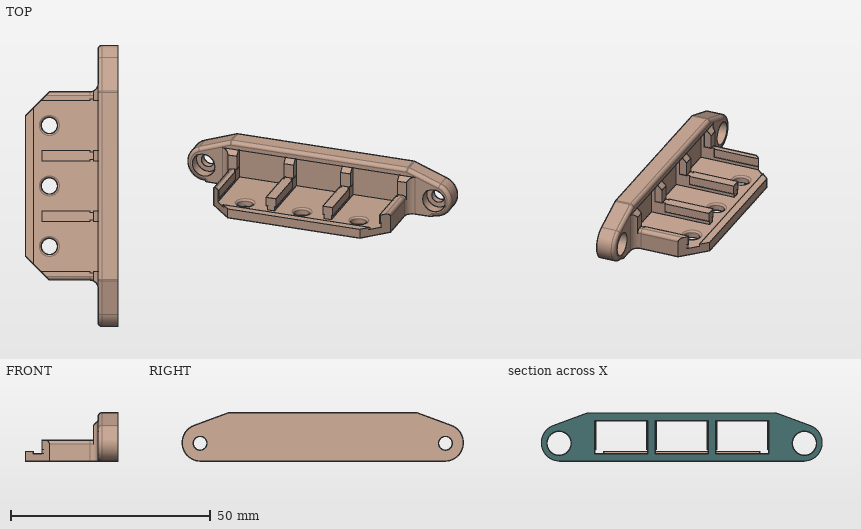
import cadquery as cq
import math

depth = 23.25
length = 70.65
height = 12.2

flange_thickness = 5.0
flange_face = depth - flange_thickness
lug_radius = 4.65
lug_y = length / 2 - lug_radius
edge_radius = 1.0
foot_size = 2 * edge_radius

screw_y = 30.8
screw_z = 4.5
screw_diameter = 3.4
counterbore_diameter = 6.0
counterbore_depth = 3.05

base_half = 23.7
corner_cut = 6.0
blend_radius = 2.05

lip_depth = 2.0
lip_top = 2.5
floor_top = 1.9
rib_front = 4.1
rib_top = 5.3
post_front = 17.0
post_top = 10.2
post_chamfer = flange_face - post_front

cell_count = 3
cell_pitch = 15.2
rib_width = 2.6
cell_width = cell_pitch - rib_width
cell_back = 20.05

relief = 0.35
relief_floor_top = 3.0
relief_corner_front = 16.25
relief_back_front = 19.0

base_hole_diameter = 4.0
base_hole_x = 6.0
base_hole_rounding = 0.5


def prism_along_y(points, width, y_center=0):
    """Extrude an X-Z outline, centred on y_center."""
    section = cq.Workplane("XZ", origin=(0, y_center, 0)).polyline(points).close()
    return section.extrude(width / 2, both=True)


def make_flange():
    run = lug_y - base_half
    rise = height - lug_radius
    distance = math.hypot(run, rise)
    tangent_angle = math.atan2(rise, -run) - math.acos(lug_radius / distance)
    tangent_y = lug_y + lug_radius * math.cos(tangent_angle)
    tangent_z = lug_radius + lug_radius * math.sin(tangent_angle)
    flange = (
        cq.Workplane("YZ", origin=(flange_face, 0, 0))
        .moveTo(-lug_y, 0)
        .lineTo(lug_y, 0)
        .threePointArc((length / 2, lug_radius), (tangent_y, tangent_z))
        .lineTo(base_half, height)
        .lineTo(-base_half, height)
        .lineTo(-tangent_y, tangent_z)
        .threePointArc((-length / 2, lug_radius), (-lug_y, 0))
        .close()
        .extrude(flange_thickness)
    )
    flange = flange.edges("|X").edges(">Z").fillet(edge_radius)
    flange = flange.faces("<X").edges().fillet(edge_radius)
    foot = (
        cq.Workplane("XY", origin=(flange_face, -lug_y, 0))
        .box(foot_size, 2 * lug_y, foot_size, centered=False)
    )
    rounding_end = (
        cq.Workplane("XY", origin=(flange_face, lug_y, 0))
        .lineTo(edge_radius, 0)
        .radiusArc((0, edge_radius), edge_radius)
        .close()
        .revolve(360, (0, 0, 0), (1, 0, 0))
    )
    return flange.union(foot).cut(rounding_end).cut(rounding_end.mirror("XZ"))


def make_base():
    blend_end = base_half + blend_radius
    blend_start = flange_face - blend_radius
    blend_inset = blend_radius * math.sqrt(0.5)
    blend_middle = (blend_start + blend_inset, blend_end - blend_inset)
    half_plan = (
        cq.Workplane("XY")
        .lineTo(0, base_half - corner_cut)
        .lineTo(corner_cut, base_half)
        .lineTo(blend_start, base_half)
        .threePointArc(blend_middle, (flange_face, blend_end))
        .lineTo(flange_face, 0)
        .close()
        .extrude(post_top)
    )
    plan = half_plan.union(half_plan.mirror("XZ"))
    section = prism_along_y(
        [
            (0, 0),
            (0, lip_top),
            (lip_depth, lip_top),
            (lip_depth, floor_top),
            (rib_front, floor_top),
            (rib_front, rib_top),
            (post_front, rib_top),
            (post_front, post_top - post_chamfer),
            (flange_face, post_top),
            (flange_face, 0),
        ],
        length,
    )
    base = plan.intersect(section)
    for side in (-1, 1):
        outer_edge = cq.selectors.NearestToPointSelector(
            ((corner_cut + blend_start) / 2, side * base_half, rib_top)
        )
        base = base.edges(outer_edge).fillet(edge_radius)
    return base


def make_cell(y_center):
    opening = prism_along_y(
        [(rib_front, floor_top), (rib_front, post_top), (cell_back, post_top), (cell_back, floor_top)],
        cell_width,
        y_center,
    )
    relief_cut = prism_along_y(
        [
            (rib_front, floor_top),
            (rib_front, relief_floor_top),
            (relief_corner_front, relief_floor_top),
            (relief_corner_front, rib_top),
            (relief_back_front, rib_top),
            (relief_back_front, post_top),
            (cell_back, post_top),
            (cell_back, floor_top),
        ],
        cell_width + 2 * relief,
        y_center,
    )
    return opening.union(relief_cut)


def cut_base_hole(body, y_center):
    hole = cq.Workplane("XY").center(base_hole_x, y_center).circle(base_hole_diameter / 2)
    body = body.cut(hole.extrude(floor_top))
    rim = cq.selectors.NearestToPointSelector((base_hole_x, y_center, floor_top))
    return body.edges("%CIRCLE").edges(rim).fillet(base_hole_rounding)


def cut_screw_hole(body, y_center):
    axis = cq.Workplane("YZ", origin=(flange_face, y_center, screw_z))
    body = body.cut(axis.circle(screw_diameter / 2).extrude(flange_thickness))
    return body.cut(axis.circle(counterbore_diameter / 2).extrude(counterbore_depth))


result = make_flange().union(make_base())

for index in range(cell_count):
    cell_y = (index - (cell_count - 1) / 2) * cell_pitch
    result = result.cut(make_cell(cell_y))
    result = cut_base_hole(result, cell_y)

for side in (-1, 1):
    result = cut_screw_hole(result, side * screw_y)